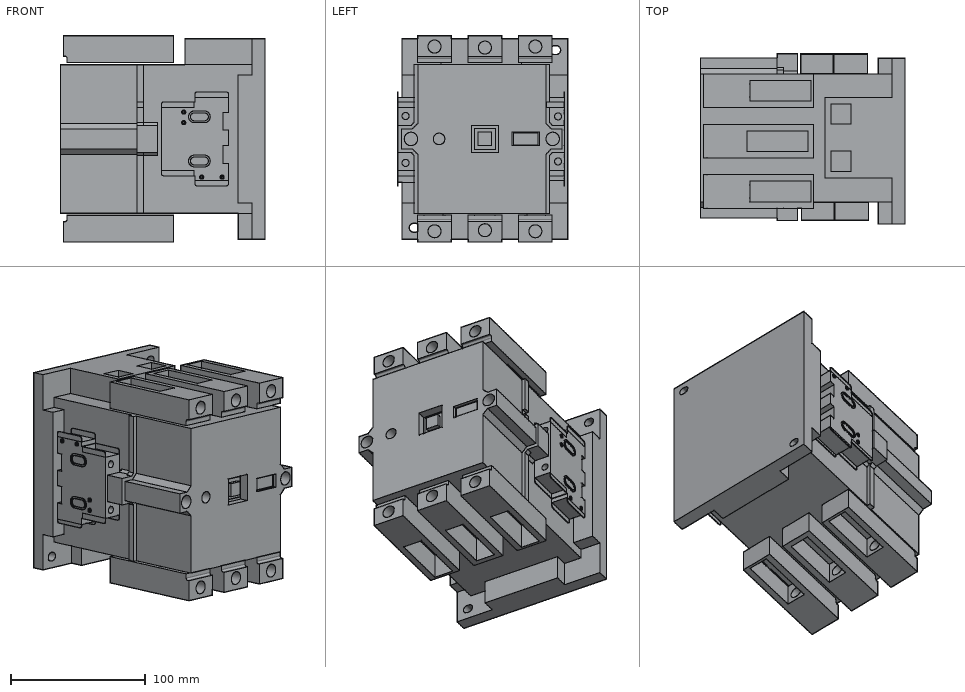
import cadquery as cq


overall_length = 152.0
plate_width = 123.3
plate_height = 149.1
plate_front = 142.2
slot_height = 6.5
slot_length = 7.7
slot_y = 52.3
slot_z = 66.0

step_front = 132.0
step_height = 95.1
tower_front = 92.3
foot_width = 62.6

housing_width = 95.1
housing_height = 110.5
housing_y = 2.3
wall_left = housing_y + housing_width / 2
wall_right = housing_y - housing_width / 2

tower_width = 59.8
tower_y = 2.6
well_size = 15.0
well_x = 104.5
well_pitch = 35.1
well_depth = 15.3

band_front = 56.9
band_back = 61.8
band_thickness = 2.8
lug_back = 72.3
rail_left = 61.8
rail_right = -57.2
rail_half_height = 7.4
rail_chamfer = 4.1
lug_left = 64.9
lug_right = -59.0
lug_half_height = 10.1
lug_chamfer = 2.1
band_notch_low = 23.3
band_notch_high = 27.5
band_notch_floor = 0.6
rail_hole_diameter = 10.0
rail_hole_spacing = 105.2

face_hole_diameter = 8.6
face_hole_y = 34.0
face_hole_depth = 15.3
recess_size = 20.0
recess_depth = 6.9
plinth_size = 15.6
plinth_face = 5.5
button_size = 10.0
button_face = 2.3
window_length = 20.4
window_height = 10.0
window_y = -30.2
window_depth = 2.5
label_length = 18.1
label_height = 8.7
label_face = 2.1

block_length = 49.9
block_step = 24.9
block_ledge_step = 24.2
block_front_half = 23.3
block_back_half = 30.8
flange_rise = 4.1
flange_thickness = 0.5
flange_corner = 1.8
catch_depth = 4.3
catch_height = 13.2
catch_spacing = 24.9
catch_center_z = 0.8
side_slot_length = 16.1
side_slot_height = 8.7
side_slot_x = 28.2
side_slot_z = 16.4
side_slot_rim = 1.4
side_slot_groove = 0.8
rivet_diameter = 3.0
rivet_core_diameter = 1.5
rivet_depth = 0.6
rivet_places = [(16.5, 20.0), (16.5, 12.1), (29.9, -28.4), (45.1, -28.4)]
screw_diameter = 5.2
screw_depth = 9.2
screw_wall_distance = 9.0
right_block_front = 75.0
right_screw_z = 16.7
left_block_front = 74.4
left_block_end = 32.2
left_screw_high = 17.0
left_screw_low = 17.8

terminal_pitch = 37.5
terminal_width = 25.0
terminal_front = 2.1
terminal_back = 84.0
terminal_top = 76.7
terminal_base = 56.6
ledge_front = 4.9
ledge_z = 61.4
ledge_fillet = 1.5
terminal_hole_diameter = 9.7
outer_hole_z = 68.5
middle_hole_z = 67.8
pocket_length = 45.3
pocket_width = 15.3
outer_pocket_front = 36.8
middle_pocket_front = 34.7


def box(x_range, y_range, z_range):
    """Axis-aligned block between the given limits."""
    size = [high - low for low, high in (x_range, y_range, z_range)]
    corner = (x_range[0], y_range[0], z_range[0])
    return cq.Workplane("XY").box(*size, centered=False).translate(corner)


def centered_box(x_range, y, z, width, height):
    """Block along X centred on the line (y, z)."""
    return box(x_range, (y - width / 2, y + width / 2), (z - height / 2, z + height / 2))


def bore_x(x_start, x_end, y, z, diameter):
    """Round bore along X."""
    start = cq.Workplane("YZ", origin=(x_start, y, z))
    return start.circle(diameter / 2).extrude(x_end - x_start)



def mounting_base():
    """Mounting plate with its step and foot, and two diagonally opposite slots."""
    base = centered_box((plate_front, overall_length), 0, 0, plate_width, plate_height)
    base = base.union(centered_box((step_front, plate_front), 0, 0, plate_width, step_height))
    foot_z = (-plate_height / 2, 0)
    base = base.union(box((step_front, plate_front), (-foot_width / 2, foot_width / 2), foot_z))
    slot = (
        cq.Workplane("YZ", origin=(plate_front, 0, 0))
        .pushPoints([(-slot_y, slot_z), (slot_y, -slot_z)])
        .slot2D(slot_length, slot_height)
        .extrude(overall_length - plate_front)
    )
    return base.cut(slot)


def tower():
    """Block rising above the housing, with two square wells in its top."""
    top = plate_height / 2
    y_range = (tower_y - tower_width / 2, tower_y + tower_width / 2)
    body = box((tower_front, plate_front), y_range, (0, top))
    wells = (
        cq.Workplane("XY", origin=(well_x, tower_y, top))
        .rarray(1.5, well_pitch, 1, 2)
        .rect(well_size, well_size)
        .extrude(-well_depth)
    )
    return body, wells


def ridge(x_range, left, right, half_height, base_left, base_right, leg):
    """Bar across the housing whose roots flare out to the side walls at 45 degrees."""
    upper = [
        (right, half_height),
        (base_right - leg, half_height),
        (base_right, half_height + leg),
        (base_left, half_height + leg),
        (base_left + leg, half_height),
        (left, half_height),
    ]
    lower = [(y, -z) for y, z in reversed(upper)]
    profile = cq.Workplane("YZ", origin=(x_range[0], 0, 0)).polyline(upper + lower).close()
    return profile.extrude(x_range[1] - x_range[0])


def side_rails():
    """Cover rails, the band behind the cover and the lugs, on both flanks."""
    band_left = wall_left + band_thickness
    band_right = wall_right - band_thickness
    band_x = (band_front, band_back)
    band_width = housing_width + 2 * band_thickness
    band = centered_box(band_x, housing_y, 0, band_width, housing_height)
    notch = box(band_x, (band_right, wall_right - band_notch_floor), (band_notch_low, band_notch_high))
    rails = ridge((0, band_front), rail_left, rail_right, rail_half_height,
                  wall_left, wall_right, rail_chamfer)
    band_ridge = ridge(band_x, lug_left, lug_right, lug_half_height,
                       band_left, band_right, lug_chamfer)
    lugs = ridge((band_back, lug_back), lug_left, lug_right, lug_half_height,
                 wall_left, wall_right, lug_chamfer)
    return rails.union(band.cut(notch)).union(band_ridge).union(lugs)


def rail_holes():
    """Screw bores running the length of both rails."""
    half = rail_hole_spacing / 2
    left = bore_x(0, band_front, housing_y + half, 0, rail_hole_diameter)
    right = bore_x(0, band_front, housing_y - half, 0, rail_hole_diameter)
    return left.union(right)


def face_openings():
    """Round hole, button recess and label window in the operating face."""
    hole = bore_x(0, face_hole_depth, face_hole_y, 0, face_hole_diameter)
    recess = centered_box((0, recess_depth), 0, 0, recess_size, recess_size)
    plinth = centered_box((plinth_face, recess_depth), 0, 0, plinth_size, plinth_size)
    button = centered_box((button_face, recess_depth), 0, 0, button_size, button_size)
    window = centered_box((0, window_depth), window_y, 0, window_length, window_height)
    label = centered_box((label_face, window_depth), window_y, 0, label_length, label_height)
    recess = recess.cut(plinth).cut(button)
    return hole.union(recess).union(window.cut(label))


def mounting_flange():
    """Thin stepped flange toward -Y from Y = 0, standing out above and below its block."""
    low = block_front_half + flange_rise
    high = block_back_half + flange_rise
    front = box((0, block_step), (-flange_thickness, 0), (-low, low))
    back = box((block_step, block_length), (-flange_thickness, 0), (-high, high))
    return front.union(back).edges("|Y and (>Z or <Z or <X)").fillet(flange_corner)


def stepped_block(depth, upper_end):
    """Body toward -Y from Y = 0: low in front, then a narrow ledge, then tall at the back."""
    low = block_front_half
    ledge = block_front_half + flange_rise
    front = box((0, block_length), (-depth, 0), (-low, low))
    middle = box((block_ledge_step, block_length), (-depth, 0), (-ledge, ledge))
    back = box((block_step, block_length), (-depth, 0), (-block_back_half, upper_end))
    return front.union(middle).union(back)


def side_slots(block_depth, inset):
    """Pair of slots sunk into the outer face of a contact block, shrunk by the inset."""
    return (
        cq.Workplane("XZ", origin=(side_slot_x, -block_depth, 0))
        .rarray(1.5, 2 * side_slot_z, 1, 2)
        .slot2D(side_slot_length - 2 * inset, side_slot_height - 2 * inset)
        .extrude(-side_slot_groove)
    )


def auxiliary_block(depth, upper_end, upper_screw_z, lower_screw_z):
    """Contact block growing toward -Y from a wall at Y = 0, front face at X = 0."""
    wall_flange = mounting_flange()
    outer_flange = wall_flange.translate((0, flange_thickness - depth, 0))
    block = stepped_block(depth, upper_end).union(wall_flange).union(outer_flange)

    catches = (
        cq.Workplane("XZ", origin=(block_length - catch_depth / 2, 0, catch_center_z))
        .rarray(1.5, catch_spacing, 1, 2)
        .rect(catch_depth, catch_height)
        .extrude(depth)
    )
    block = block.cut(catches)

    grooves = side_slots(depth, 0).cut(side_slots(depth, side_slot_rim))
    block = block.cut(grooves)
    eyes = (
        cq.Workplane("XZ", origin=(0, -depth, 0))
        .pushPoints(rivet_places)
        .circle(rivet_diameter / 2)
        .circle(rivet_core_diameter / 2)
        .extrude(-rivet_depth)
    )
    block = block.cut(eyes)

    for z in (upper_screw_z, lower_screw_z):
        block = block.cut(bore_x(0, screw_depth, -screw_wall_distance, z, screw_diameter))
    return block


def auxiliary_blocks():
    """The right block, and the left one turned half a turn about X."""
    right = auxiliary_block(wall_right - lug_right, block_back_half, right_screw_z, -right_screw_z)
    right = right.translate((right_block_front, wall_right, 0))
    left = auxiliary_block(lug_left - wall_left, left_block_end, left_screw_low, -left_screw_high)
    left = left.rotate((0, 0, 0), (1, 0, 0), 180).translate((left_block_front, wall_left, 0))
    return right, left


def make_housing():
    body = centered_box((0, plate_front), housing_y, 0, housing_width, housing_height)
    body = body.union(mounting_base()).union(side_rails())
    tower_body, wells = tower()
    body = body.union(tower_body).cut(wells)
    body = body.cut(rail_holes()).cut(face_openings())
    for block in auxiliary_blocks():
        body = body.union(block)
    return body



def make_terminal(y, side, pocket_front, hole_z):
    """Terminal above (side = 1) or below (side = -1) the housing, with a wiring pocket."""
    profile = [
        (terminal_front, terminal_top), (terminal_back, terminal_top),
        (terminal_back, terminal_base), (ledge_front, terminal_base),
        (ledge_front, ledge_z), (terminal_front, ledge_z),
    ]
    body = cq.Workplane("XZ").polyline(profile).close().extrude(terminal_width / 2, both=True)
    body = body.edges(cq.selectors.NearestToPointSelector((ledge_front, 0, ledge_z)))
    body = body.fillet(ledge_fillet)
    pocket_x = (pocket_front, pocket_front + pocket_length)
    half_pocket = pocket_width / 2
    body = body.cut(box(pocket_x, (-half_pocket, half_pocket), (terminal_base, terminal_top)))
    body = body.cut(bore_x(terminal_front, pocket_front, 0, hole_z, terminal_hole_diameter))
    if side < 0:
        body = body.mirror("XY")
    return body.translate((0, y, 0))


def make_terminals():
    terminals = []
    for side in (1, -1):
        for pole in (-1, 0, 1):
            pocket_front = outer_pocket_front if pole else middle_pocket_front
            hole_z = outer_hole_z if pole else middle_hole_z
            y = pole * terminal_pitch
            terminals.append(make_terminal(y, side, pocket_front, hole_z))
    return terminals


housing = make_housing().solids()
terminals = make_terminals()
result = cq.Compound.makeCompound([housing.val(), *[terminal.val() for terminal in terminals]])